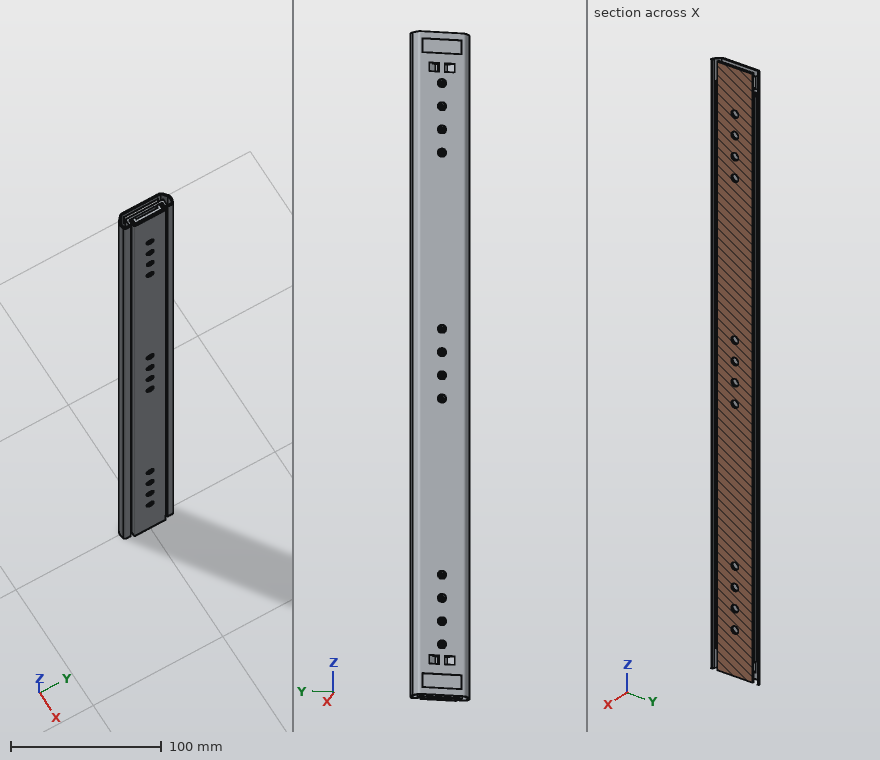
import cadquery as cq

LENGTH = 457.0
DEPTH = 13.0
HALF_WIDTH = 19.9
SHEET = 1.15

OUTER_DEPTH = 11.5
CORNER_Y = 15.5
CORNER_RADIUS = 2.7
FLANK_DEPTH = 4.0
FLANK_RISE = 3.5
CROWN_X = 7.5
CROWN_END_X = 10.0
LIP_RADIUS = OUTER_DEPTH - CROWN_END_X
FLANK_END_Y = CORNER_Y + FLANK_RISE
LIP_HALF_GAP = 14.0

WINDOW_WIDTH = 26.5
WINDOW_HEIGHT = 9.5
WINDOW_FROM_END = 9.5
TAB_FROM_END = 24.0
TAB_HEIGHT = 6.0
TAB_OPENING_INNER_Y = 2.0
TAB_OPENING_OUTER_Y = 8.5
TAB_BEND_Y = 4.0
TAB_TIP_Y = 2.5
TAB_OFFSET = 2.7

HOLE_DIAMETER = 5.5
HOLE_PITCH = 16.0
HOLES_PER_GROUP = 4
GROUP_SPACING = 169.5

MIDDLE_WEB_X = 5.0
MIDDLE_END_X = 10.0
MIDDLE_HALF_WIDTH = 14.5
MIDDLE_THICKNESS = 2.0

DRAWER_HALF_WIDTH = 12.5
DRAWER_FLANGE_DEPTH = 5.5
DRAWER_RADIUS = 1.0

STRIP_FOOT_X = 2.5
STRIP_FOOT_THICKNESS = 2.0
STRIP_FOOT_Y = 10.0
STRIP_END_X = 9.0
STRIP_Y = 15.0
STRIP_WIDTH = 2.0
STRIP_INSET = 16.0
CAGE_BACK_X = 11.0
CAGE_DEPTH = 4.0
CAGE_THICKNESS = 2.5
CAGE_HALF_WIDTH = 10.5


def block(x_min, x_max, y_min, y_max, z_min=0.0, z_max=LENGTH):
    """Box between the given limits."""
    size = (x_max - x_min, y_max - y_min, z_max - z_min)
    return cq.Workplane("XY").box(*size, centered=False).translate((x_min, y_min, z_min))


def drill_holes(body):
    """Drill the three groups of screw holes along X, through the whole depth."""
    for group in (-1, 0, 1):
        for index in range(HOLES_PER_GROUP):
            step = index - (HOLES_PER_GROUP - 1) / 2
            z = LENGTH / 2 + group * GROUP_SPACING + step * HOLE_PITCH
            hole = cq.Workplane("YZ").center(0, z).circle(HOLE_DIAMETER / 2).extrude(DEPTH)
            body = body.cut(hole)
    return body


def channel(x_min, x_max, half_width, thickness, opening):
    """U channel along Z; its web is opposite to the opening, which is +1 for +X and -1 for -X."""
    outside = block(x_min, x_max, -half_width, half_width)
    inner = half_width - thickness
    if opening > 0:
        inside = block(x_min + thickness, x_max, -inner, inner)
    else:
        inside = block(x_min, x_max - thickness, -inner, inner)
    return outside.cut(inside)


def outer_outline():
    """Closed outer outline of the outer rail: web, slanted flanks, crowned flanges and lips."""
    lip_start_y = FLANK_END_Y - LIP_RADIUS
    return (
        cq.Workplane("XY")
        .moveTo(0, -CORNER_Y)
        .lineTo(0, CORNER_Y)
        .lineTo(FLANK_DEPTH, FLANK_END_Y)
        .threePointArc((CROWN_X, HALF_WIDTH), (CROWN_END_X, FLANK_END_Y))
        .radiusArc((OUTER_DEPTH, lip_start_y), LIP_RADIUS)
        .lineTo(OUTER_DEPTH, -lip_start_y)
        .radiusArc((CROWN_END_X, -FLANK_END_Y), LIP_RADIUS)
        .threePointArc((CROWN_X, -HALF_WIDTH), (FLANK_DEPTH, -FLANK_END_Y))
        .close()
    )


def bent_tab(side, z_min):
    """Tab lanced from the web and bent inward to a flat foot; side is +1 or -1 in Y."""
    points = [
        (0, TAB_OPENING_OUTER_Y),
        (TAB_OFFSET, TAB_BEND_Y),
        (TAB_OFFSET, TAB_TIP_Y),
        (TAB_OFFSET + SHEET, TAB_TIP_Y),
        (TAB_OFFSET + SHEET, TAB_BEND_Y),
        (SHEET, TAB_OPENING_OUTER_Y),
    ]
    profile = cq.Workplane("XY").polyline([(x, side * y) for x, y in points]).close()
    return profile.extrude(TAB_HEIGHT).translate((0, 0, z_min))


def make_outer_rail():
    shell = outer_outline().extrude(LENGTH).edges("|Z and <X").fillet(CORNER_RADIUS)
    cavity = outer_outline().offset2D(-SHEET).extrude(LENGTH)
    mouth = block(OUTER_DEPTH / 2, OUTER_DEPTH, -LIP_HALF_GAP, LIP_HALF_GAP)
    rail = shell.cut(cavity).cut(mouth)

    tab_low = TAB_FROM_END - TAB_HEIGHT / 2
    window_low = WINDOW_FROM_END - WINDOW_HEIGHT / 2
    for z in (window_low, LENGTH - window_low - WINDOW_HEIGHT):
        rail = rail.cut(block(0, SHEET, -WINDOW_WIDTH / 2, WINDOW_WIDTH / 2, z, z + WINDOW_HEIGHT))
    for z in (tab_low, LENGTH - tab_low - TAB_HEIGHT):
        for side in (-1, 1):
            y_low, y_high = sorted((side * TAB_OPENING_INNER_Y, side * TAB_OPENING_OUTER_Y))
            opening = block(0, SHEET, y_low, y_high, z, z + TAB_HEIGHT)
            rail = rail.cut(opening).union(bent_tab(side, z))
    return drill_holes(rail)


def make_middle_rail():
    return drill_holes(channel(MIDDLE_WEB_X, MIDDLE_END_X, MIDDLE_HALF_WIDTH, MIDDLE_THICKNESS, 1))


def make_drawer_rail():
    rail = channel(DEPTH - DRAWER_FLANGE_DEPTH, DEPTH, DRAWER_HALF_WIDTH, SHEET, -1)
    return drill_holes(rail.edges("|Z and >X").fillet(DRAWER_RADIUS))


def make_ball_strip(side):
    """L-shaped ball retainer between the outer and middle rails; side is +1 or -1 in Y."""
    foot_end_x = STRIP_FOOT_X + STRIP_FOOT_THICKNESS
    points = [
        (STRIP_FOOT_X, STRIP_FOOT_Y),
        (foot_end_x, STRIP_FOOT_Y),
        (foot_end_x, STRIP_Y),
        (STRIP_END_X, STRIP_Y),
        (STRIP_END_X, STRIP_Y + STRIP_WIDTH),
        (foot_end_x, STRIP_Y + STRIP_WIDTH),
        (STRIP_FOOT_X, STRIP_Y),
    ]
    profile = cq.Workplane("XY").polyline([(x, side * y) for x, y in points]).close()
    return profile.extrude(LENGTH - 2 * STRIP_INSET).translate((0, 0, STRIP_INSET))


def make_inner_cage():
    """Ball cage that lies inside the drawer rail."""
    return drill_holes(channel(CAGE_BACK_X - CAGE_DEPTH, CAGE_BACK_X, CAGE_HALF_WIDTH, CAGE_THICKNESS, -1))


outer_rail = make_outer_rail()
middle_rail = make_middle_rail()
drawer_rail = make_drawer_rail()
ball_strips = [make_ball_strip(side) for side in (-1, 1)]
inner_cage = make_inner_cage()

result = cq.Compound.makeCompound(
    [
        outer_rail.val(),
        middle_rail.val(),
        drawer_rail.val(),
        *[strip.val() for strip in ball_strips],
        inner_cage.val(),
    ]
)